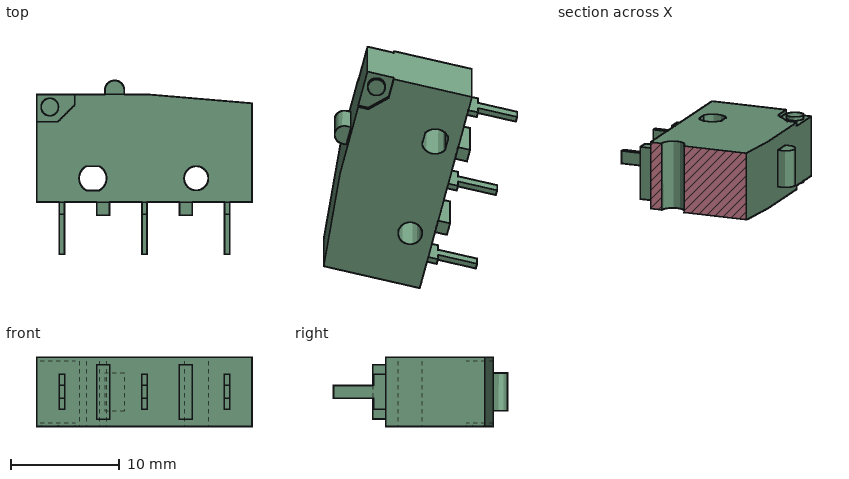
import cadquery as cq

body_length = 19.8
body_height = 9.9
body_thickness = 6.4
slope_start_x = 0.5
slope_drop = 0.8

hole_spacing = 9.5
hole_y = 2.2
round_hole_diameter = 2.2
wide_hole_diameter = 2.5

recess_length = 3.5
recess_height = 2.5
recess_chamfer = 1.55
recess_depth = 0.35
pin_diameter = 1.6
pin_inset_x = 1.2
pin_inset_y = 1.15

plunger_x = -2.75
plunger_width = 1.8
plunger_thickness = 3.5
plunger_travel = 1.3

terminal_pitch = 7.6
terminal_thickness = 0.5
blade_length = 4.8
blade_width = 1.2
shoulder_length = 1.1
shoulder_width = 3.2

rib_width = 1.2
rib_length = 1.2
rib_span = 5.0

left_x = -body_length / 2
right_x = body_length / 2
half_thickness = body_thickness / 2


def prism(outline, thickness):
    """Extrude an XY outline symmetrically about Z = 0."""
    return outline.extrude(thickness / 2, both=True)


def make_housing():
    outline = (
        cq.Workplane("XY")
        .moveTo(left_x, 0)
        .lineTo(right_x, 0)
        .lineTo(right_x, body_height - slope_drop)
        .lineTo(slope_start_x, body_height)
        .lineTo(left_x, body_height)
        .close()
    )
    return prism(outline, body_thickness)


def make_recess(bottom_z):
    """Corner pocket volume that leaves the pin head standing."""
    recess_end_x = left_x + recess_length
    recess_bottom_y = body_height - recess_height
    plane = cq.Workplane("XY").workplane(offset=bottom_z)
    pocket = (
        plane.moveTo(left_x, body_height)
        .lineTo(left_x, recess_bottom_y)
        .lineTo(recess_end_x - recess_chamfer, recess_bottom_y)
        .lineTo(recess_end_x, recess_bottom_y + recess_chamfer)
        .lineTo(recess_end_x, body_height)
        .close()
        .extrude(recess_depth)
    )
    pin = (
        plane.center(left_x + pin_inset_x, body_height - pin_inset_y)
        .circle(pin_diameter / 2)
        .extrude(recess_depth)
    )
    return pocket.cut(pin)


def make_round_hole():
    outline = cq.Workplane("XY").center(hole_spacing / 2, hole_y).circle(round_hole_diameter / 2)
    return prism(outline, body_thickness)


def make_flatted_hole():
    plane = cq.Workplane("XY").center(-hole_spacing / 2, hole_y)
    cylinder = prism(plane.circle(wide_hole_diameter / 2), body_thickness)
    flats = prism(plane.rect(wide_hole_diameter, round_hole_diameter), body_thickness)
    return cylinder.intersect(flats)


def make_plunger():
    tip_radius = plunger_width / 2
    tip_y = body_height + plunger_travel
    shoulder_y = tip_y - tip_radius
    outline = (
        cq.Workplane("XY")
        .moveTo(plunger_x - tip_radius, body_height)
        .lineTo(plunger_x + tip_radius, body_height)
        .lineTo(plunger_x + tip_radius, shoulder_y)
        .threePointArc((plunger_x, tip_y), (plunger_x - tip_radius, shoulder_y))
        .close()
    )
    return prism(outline, plunger_thickness)


def make_bar(center_x, width, length, span):
    """Rectangular bar standing out of the terminal face toward -Y."""
    return (
        cq.Workplane("XY")
        .box(width, length, span, centered=(True, False, True))
        .translate((center_x, -length, 0))
    )


def make_terminal(center_x):
    shoulder = make_bar(center_x, terminal_thickness, shoulder_length, shoulder_width)
    blade = make_bar(center_x, terminal_thickness, blade_length, blade_width)
    return shoulder.union(blade)


result = make_housing()
result = result.cut(make_round_hole()).cut(make_flatted_hole())
for recess_bottom_z in (half_thickness - recess_depth, -half_thickness):
    result = result.cut(make_recess(recess_bottom_z))

result = result.union(make_plunger())
for terminal_x in (-terminal_pitch, 0, terminal_pitch):
    result = result.union(make_terminal(terminal_x))
for rib_x in (-terminal_pitch / 2, terminal_pitch / 2):
    result = result.union(make_bar(rib_x, rib_width, rib_length, rib_span))